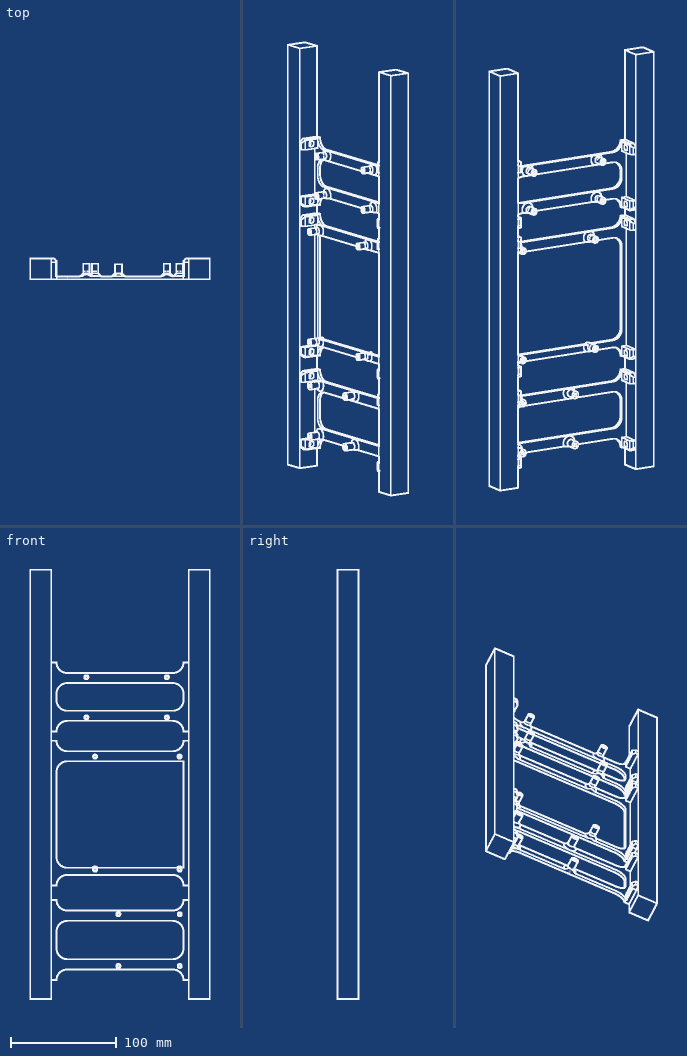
import cadquery as cq
rail_width = 20.0
rail_height = 406.5
overall_width = 170.0
gap_width = overall_width - 2 * rail_width
rail_offset = (gap_width + rail_width) / 2

plate_thickness = 3.0
side_width = 5.0
corner_radius = 10.0
window_width = gap_width - 2 * side_width

ear_height = 10.0
ear_back_corner_chamfer = 2.5
ear_back_end_chamfer = 3.5
ear_inner_end_chamfer = 1.0
ear_hole_diameter = 5.5

slim_post_diameter = 6.2
slim_post_end = 15.0
thick_post_diameter = 6.9
thick_post_end = 14.5
flare_height = 2.8
screw_hole_diameter = 2.6
bore_diameter = 4.0
bore_depth = 8.0

top_bracket_bottom = 253.3
top_bracket_bar = 9.75
top_bracket_window = 26.0
top_posts_left = -31.8
top_posts_bottom = 266.6
top_posts_x_pitch = 76.2
top_posts_z_pitch = 38.1

middle_bracket_bottom = 107.5
middle_bracket_lower_bar = 7.0
middle_bracket_upper_bar = 9.75
middle_bracket_window = 100.5
middle_posts_left = -23.6
middle_posts_bottom = 122.6
middle_posts_x_pitch = 80.0
middle_posts_z_pitch = 107.0

bottom_bracket_bottom = 18.0
bottom_bracket_bar = 10.0
bottom_bracket_window = 36.0
bottom_posts_left = -1.5
bottom_posts_bottom = 31.4
bottom_posts_x_pitch = 58.0
bottom_posts_z_pitch = 49.0


def make_rail(x):
    """One square post, centred on x."""
    return cq.Workplane("XY").center(x, rail_width / 2).rect(rail_width, rail_width).extrude(rail_height)


def front_slab(width, bottom, top, thickness):
    """A rectangular slab centred on X = 0 that grows backwards from Y = 0."""
    slab = cq.Workplane("XY").box(width, thickness, top - bottom, centered=(True, False, False))
    return slab.translate((0, 0, bottom))


def y_cylinder(x, z, diameter, length):
    """A cylinder that grows backwards from Y = 0."""
    return cq.Workplane("XZ", origin=(x, 0, z)).circle(diameter / 2).extrude(-length)


def make_plate(bottom, window_bottom, window_top, top, square_right):
    """The flat plate: a window between the bars and a rounded notch beyond each bar."""
    plate = front_slab(gap_width, bottom, top, plate_thickness)

    window = front_slab(window_width, window_bottom, window_top, plate_thickness)
    rounded_corners = "|Y and <X" if square_right else "|Y"
    window = window.edges(rounded_corners).fillet(corner_radius)

    lower_notch = front_slab(window_width, bottom - corner_radius, bottom + ear_height, plate_thickness)
    lower_notch = lower_notch.edges("|Y and >Z").fillet(corner_radius)
    upper_notch = front_slab(window_width, top - ear_height, top + corner_radius, plate_thickness)
    upper_notch = upper_notch.edges("|Y and <Z").fillet(corner_radius)
    return plate.cut(window).cut(lower_notch).cut(upper_notch)


def make_ear(side, bottom, is_upper):
    """A chamfered block against a rail, with one cross hole; side is -1 for left and 1 for right."""
    inner_face = "<X" if side > 0 else ">X"
    end_face = ">Z" if is_upper else "<Z"
    center_x = side * (gap_width - side_width) / 2
    ear = cq.Workplane("XY").box(side_width, rail_width, ear_height)
    ear = ear.translate((center_x, rail_width / 2, bottom + ear_height / 2))
    ear = ear.edges(f"|Z and >Y and {inner_face}").chamfer(ear_back_corner_chamfer)
    ear = ear.edges(f"|X and >Y and {end_face}").chamfer(ear_back_end_chamfer)
    ear = ear.edges(f"|Y and {inner_face} and {end_face}").chamfer(ear_inner_end_chamfer)
    hole = (
        cq.Workplane("YZ", origin=(center_x, rail_width / 2, bottom + ear_height / 2))
        .circle(ear_hole_diameter / 2)
        .extrude(side_width, both=True)
    )
    return ear.cut(hole)


def make_post(x, z, diameter, end, bar_bottom, bar_top):
    """A standoff with a conical foot that is trimmed flush with the edges of its bar."""
    radius = diameter / 2
    foot_radius = radius + flare_height
    flare_end = plate_thickness + flare_height
    foot_profile = [
        (0, 0),
        (foot_radius, 0),
        (foot_radius, plate_thickness),
        (radius, flare_end),
        (0, flare_end),
    ]
    foot = cq.Workplane("XY").polyline(foot_profile).close().revolve(360, (0, 0), (0, 1))
    foot = foot.translate((x, 0, z))
    foot = foot.intersect(front_slab(gap_width, bar_bottom, bar_top, rail_width))
    return y_cylinder(x, z, diameter, end).union(foot)


def make_screw_hole(x, z):
    """A through hole with a wider bore from the front."""
    through = y_cylinder(x, z, screw_hole_diameter, rail_width)
    return through.union(y_cylinder(x, z, bore_diameter, bore_depth))


def make_bracket(bottom, lower_bar, window, upper_bar, post_columns, post_rows, post_diameter, post_end,
                 square_right=False):
    """A bracket built upwards from its lower ears: lower bar, window, upper bar, upper ears."""
    lower_bar_bottom = bottom + ear_height
    window_bottom = lower_bar_bottom + lower_bar
    window_top = window_bottom + window
    upper_bar_top = window_top + upper_bar
    top = upper_bar_top + ear_height
    bars = [(lower_bar_bottom, window_bottom), (window_top, upper_bar_top)]

    bracket = make_plate(bottom, window_bottom, window_top, top, square_right)
    for side in (-1, 1):
        bracket = bracket.union(make_ear(side, bottom, is_upper=False))
        bracket = bracket.union(make_ear(side, upper_bar_top, is_upper=True))
    for z, (bar_bottom, bar_top) in zip(post_rows, bars):
        for x in post_columns:
            bracket = bracket.union(make_post(x, z, post_diameter, post_end, bar_bottom, bar_top))
            bracket = bracket.cut(make_screw_hole(x, z))
    return bracket


rails = [make_rail(side * rail_offset) for side in (-1, 1)]

top_bracket = make_bracket(
    top_bracket_bottom,
    top_bracket_bar,
    top_bracket_window,
    top_bracket_bar,
    post_columns=(top_posts_left, top_posts_left + top_posts_x_pitch),
    post_rows=(top_posts_bottom, top_posts_bottom + top_posts_z_pitch),
    post_diameter=slim_post_diameter,
    post_end=slim_post_end,
)

middle_bracket = make_bracket(
    middle_bracket_bottom,
    middle_bracket_lower_bar,
    middle_bracket_window,
    middle_bracket_upper_bar,
    post_columns=(middle_posts_left, middle_posts_left + middle_posts_x_pitch),
    post_rows=(middle_posts_bottom, middle_posts_bottom + middle_posts_z_pitch),
    post_diameter=slim_post_diameter,
    post_end=slim_post_end,
    square_right=True,
)

bottom_bracket = make_bracket(
    bottom_bracket_bottom,
    bottom_bracket_bar,
    bottom_bracket_window,
    bottom_bracket_bar,
    post_columns=(bottom_posts_left, bottom_posts_left + bottom_posts_x_pitch),
    post_rows=(bottom_posts_bottom, bottom_posts_bottom + bottom_posts_z_pitch),
    post_diameter=thick_post_diameter,
    post_end=thick_post_end,
)

bodies = [*rails, top_bracket, middle_bracket, bottom_bracket]
result = cq.Compound.makeCompound([body.val() for body in bodies])